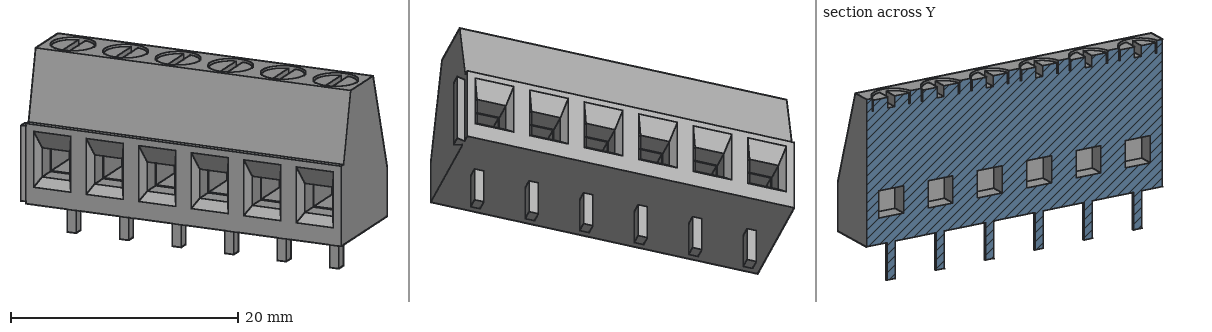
import cadquery as cq


overall_length = 31.22
rib_projection = 0.75
pole_count = 6
body_length = overall_length - rib_projection
pitch = body_length / pole_count
pole_centers = [(index + 0.5) * pitch for index in range(pole_count)]

body_depth = 9.8
body_height = 13.8
back_wall_height = 4.55
ledge_height = 7.4
ledge_depth = 0.53
top_front = 2.03
top_back = 6.8

rib_height = 6.95
rib_outer_width = 0.97
rib_root_width = 0.55
rib_center_y = ledge_depth + rib_outer_width / 2

entry_width = 3.6
entry_height = 5.15
entry_bottom = 1.62
funnel_depth = 0.8
tunnel_size = 2.7
tunnel_depth = 1.75
tunnel_center_z = 3.75
cavity_size = 2.5

screw_y = 4.43
screw_diameter = 3.8
screw_hole_diameter = 4.0
screw_recess = 0.2
slot_width = 0.65
slot_depth = 1.0

pin_width = 0.87
pin_thickness = 1.03
pin_length = 3.5
pin_y = 4.62


def make_housing():
    return (
        cq.Workplane("YZ")
        .polyline([
            (0, 0),
            (body_depth, 0),
            (body_depth, back_wall_height),
            (top_back, body_height),
            (top_front, body_height),
            (ledge_depth, ledge_height),
            (0, ledge_height),
        ])
        .close()
        .extrude(body_length)
    )


def make_rib():
    return (
        cq.Workplane("XY")
        .polyline([
            (0, rib_center_y - rib_root_width / 2),
            (0, rib_center_y + rib_root_width / 2),
            (-rib_projection, rib_center_y + rib_outer_width / 2),
            (-rib_projection, rib_center_y - rib_outer_width / 2),
        ])
        .close()
        .extrude(rib_height)
    )


def square_passage(x, size, start_y, end_y):
    """Square passage along Y at the tunnel height."""
    return (
        cq.Workplane("XY")
        .box(size, end_y - start_y, size)
        .translate((x, (start_y + end_y) / 2, tunnel_center_z))
    )


def make_wire_entry(x):
    """Void of one wire entry, from the front face to the end of the clamp cavity."""
    entry_center_z = entry_bottom + entry_height / 2
    funnel = (
        cq.Workplane("XZ")
        .center(x, entry_center_z)
        .rect(entry_width, entry_height)
        .workplane(offset=-funnel_depth)
        .center(0, tunnel_center_z - entry_center_z)
        .rect(tunnel_size, tunnel_size)
        .loft(ruled=True)
    )
    tunnel_end = funnel_depth + tunnel_depth
    cavity_end = 2 * screw_y - tunnel_end
    tunnel = square_passage(x, tunnel_size, funnel_depth, tunnel_end)
    cavity = square_passage(x, cavity_size, tunnel_end, cavity_end)
    return funnel.union(tunnel).union(cavity)


def make_screw_void(x):
    """Void around one slotted screw head: recess, ring-shaped gap and driver slot."""
    head_top = body_height - screw_recess
    slot_floor = head_top - slot_depth
    hole = (
        cq.Workplane("XY", origin=(x, screw_y, slot_floor))
        .circle(screw_hole_diameter / 2)
        .extrude(body_height - slot_floor)
    )
    head = (
        cq.Workplane("XY", origin=(x, screw_y, slot_floor))
        .circle(screw_diameter / 2)
        .extrude(slot_depth)
    )
    slot = (
        cq.Workplane("XY", origin=(x, screw_y, slot_floor))
        .rect(slot_width, screw_hole_diameter)
        .extrude(slot_depth)
    )
    return hole.cut(head.cut(slot))


def make_pin(x):
    return (
        cq.Workplane("XY", origin=(x, pin_y, 0))
        .rect(pin_width, pin_thickness)
        .extrude(-pin_length)
    )


result = make_housing().union(make_rib())
for pole_x in pole_centers:
    result = result.cut(make_wire_entry(pole_x))
    result = result.cut(make_screw_void(pole_x))
    result = result.union(make_pin(pole_x))